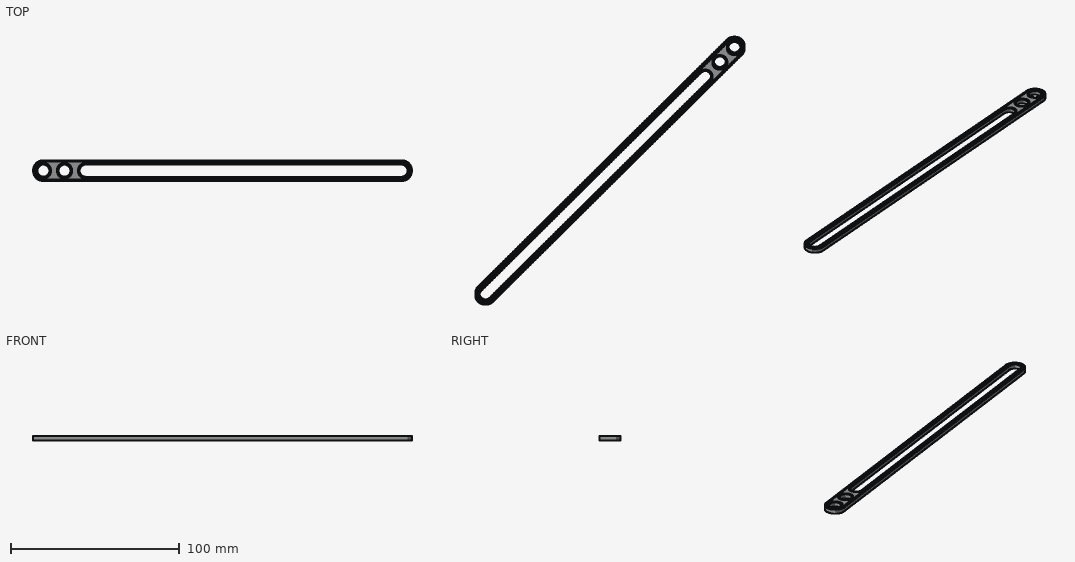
import cadquery as cq

pitch = 12.5
length = 18 * pitch
width = pitch
thickness = pitch / 4
half_thickness = thickness / 2

opening_width = 7.0
collar_width = 9.2
wall = (collar_width - opening_width) / 2

recess_width = width - 2 * wall
recess_depth = 0.2

edge_chamfer = 0.3

first_hole_x = -length / 2 + width / 2
second_hole_x = first_hole_x + pitch
slot_start_x = second_hole_x + pitch
last_x = length / 2 - width / 2

openings = [
    (first_hole_x, first_hole_x),
    (second_hole_x, second_hole_x),
    (slot_start_x, last_x),
]


def stadium(start_x, end_x, across, bottom, height):
    """Upright prism with round ends centred on start_x and end_x, or a cylinder if they coincide."""
    base = cq.Workplane("XY", origin=((start_x + end_x) / 2, 0, bottom))
    if start_x == end_x:
        return base.circle(across / 2).extrude(height)
    return base.slot2D(end_x - start_x + across, across).extrude(height)


def make_bar():
    """Round-ended bar with openings, its top and bottom edges all chamfered."""
    bar = stadium(first_hole_x, last_x, width, -half_thickness, thickness)
    for start_x, end_x in openings:
        bar = bar.cut(stadium(start_x, end_x, opening_width, -half_thickness, thickness))
    return bar.faces("<Z or >Z").edges().chamfer(edge_chamfer)


def make_recess(bottom):
    """Material removed from one face, between the outer rim and the collars."""
    recess = stadium(first_hole_x, last_x, recess_width, bottom, recess_depth)
    for start_x, end_x in openings:
        recess = recess.cut(stadium(start_x, end_x, collar_width, bottom, recess_depth))
    return recess


result = make_bar()
for recess_bottom in (-half_thickness, half_thickness - recess_depth):
    result = result.cut(make_recess(recess_bottom))